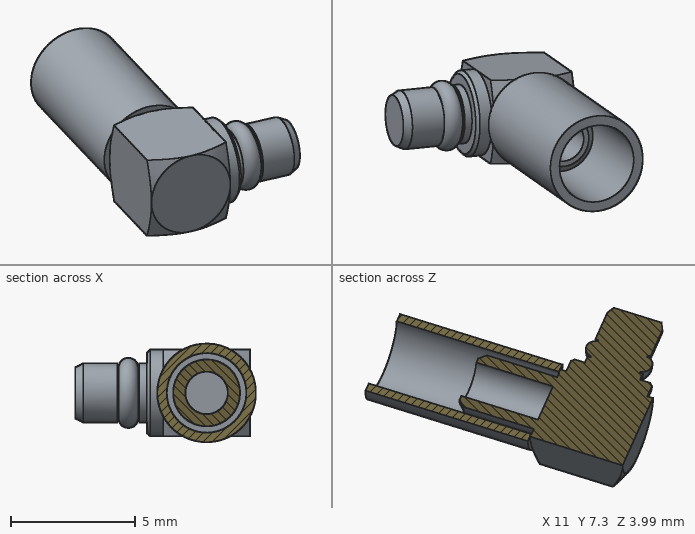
import cadquery as cq
import math

TOTAL_LENGTH = 10.99
TOTAL_DEPTH = 7.3
BLOCK_LENGTH = 3.99
SLEEVE_LENGTH = TOTAL_LENGTH - BLOCK_LENGTH
MATING_X = SLEEVE_LENGTH + BLOCK_LENGTH / 2

SLEEVE_RADIUS = 3.99 / 2
SLEEVE_BORE_RADIUS = 3.2 / 2

BLOCK_WIDTH = 3.51
CORNER_CONE_ANGLE = 30.0

STEM_RADIUS = 2.7 / 2
STEM_TIP_RADIUS = 2.14 / 2
STEM_BORE_RADIUS = 1.7 / 2
STEM_LENGTH = 3.3

FLANGE_RADIUS = BLOCK_WIDTH / 2
FLANGE_END = 2.41
FLANGE_CHAMFER = 0.13
NOSE_RADIUS = 2.4 / 2
NOSE_END = TOTAL_DEPTH - SLEEVE_RADIUS
NOSE_CHAMFER_LENGTH = 0.33
NOSE_CHAMFER_DEPTH = 0.16
RING_RADIUS = 2.84 / 2
RING_CENTRE = 3.15
RING_SECTION_RADIUS = 0.4
GROOVE_WIDTH = 0.88
GROOVE_RADIUS = 2.14 / 2


def make_sleeve():
    """Plain tube butting against the elbow block."""
    return (
        cq.Workplane("YZ")
        .circle(SLEEVE_RADIUS)
        .circle(SLEEVE_BORE_RADIUS)
        .extrude(SLEEVE_LENGTH)
    )


def make_block():
    """Square block with the corners of both end faces turned to a cone."""
    half_width = BLOCK_WIDTH / 2
    corner_radius = half_width * math.sqrt(2)
    cone_length = (corner_radius - half_width) * math.tan(math.radians(CORNER_CONE_ANGLE))
    block = (
        cq.Workplane("YZ", origin=(SLEEVE_LENGTH, 0, 0))
        .rect(BLOCK_WIDTH, BLOCK_WIDTH)
        .extrude(BLOCK_LENGTH)
    )
    turned_envelope = (
        cq.Workplane("XY")
        .polyline([
            (SLEEVE_LENGTH, 0),
            (SLEEVE_LENGTH, half_width),
            (SLEEVE_LENGTH + cone_length, corner_radius),
            (TOTAL_LENGTH - cone_length, corner_radius),
            (TOTAL_LENGTH, half_width),
            (TOTAL_LENGTH, 0),
        ])
        .close()
        .revolve(360, (0, 0, 0), (1, 0, 0))
    )
    return block.intersect(turned_envelope)


def make_stem():
    """Hollow stem with a 45 degree tip, standing on the block inside the sleeve."""
    return (
        cq.Workplane("YZ", origin=(SLEEVE_LENGTH, 0, 0))
        .circle(STEM_RADIUS)
        .extrude(-STEM_LENGTH)
        .faces("<X")
        .chamfer(STEM_RADIUS - STEM_TIP_RADIUS)
        .cut(
            cq.Workplane("YZ", origin=(SLEEVE_LENGTH, 0, 0))
            .circle(STEM_BORE_RADIUS)
            .extrude(-STEM_LENGTH)
        )
    )


def make_nose():
    """Turned mating end: flange, neck, grooved snap ring and tapered tip."""
    groove_start = RING_CENTRE - GROOVE_WIDTH / 2
    groove_end = RING_CENTRE + GROOVE_WIDTH / 2
    ring_section_x = RING_RADIUS - RING_SECTION_RADIUS
    ring_half_width = math.sqrt(RING_SECTION_RADIUS**2 - (GROOVE_RADIUS - ring_section_x) ** 2)
    return (
        cq.Workplane("XY", origin=(MATING_X, 0, 0))
        .polyline([
            (0, 0),
            (FLANGE_RADIUS, 0),
            (FLANGE_RADIUS, FLANGE_END - FLANGE_CHAMFER),
            (FLANGE_RADIUS - FLANGE_CHAMFER, FLANGE_END),
            (NOSE_RADIUS, FLANGE_END),
            (NOSE_RADIUS, groove_start),
            (GROOVE_RADIUS, groove_start),
            (GROOVE_RADIUS, RING_CENTRE - ring_half_width),
        ])
        .threePointArc((RING_RADIUS, RING_CENTRE), (GROOVE_RADIUS, RING_CENTRE + ring_half_width))
        .lineTo(GROOVE_RADIUS, groove_end)
        .lineTo(NOSE_RADIUS, groove_end)
        .lineTo(NOSE_RADIUS, NOSE_END - NOSE_CHAMFER_LENGTH)
        .lineTo(NOSE_RADIUS - NOSE_CHAMFER_DEPTH, NOSE_END)
        .lineTo(0, NOSE_END)
        .close()
        .revolve(360, (0, 0, 0), (0, 1, 0))
    )


sleeve = make_sleeve()
connector = make_block().union(make_stem()).union(make_nose())

result = cq.Compound.makeCompound([sleeve.val(), connector.val()])